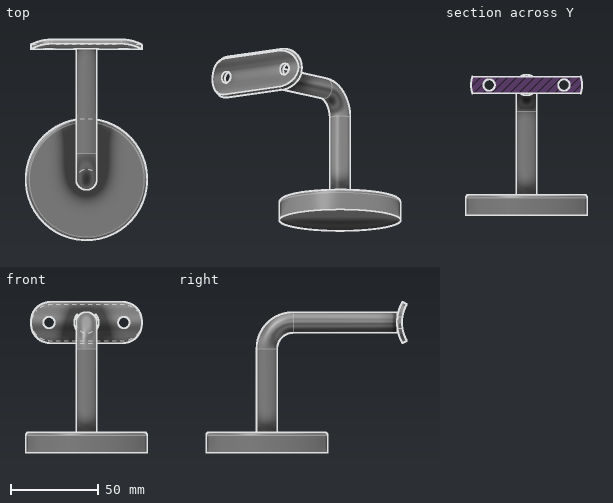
import cadquery as cq
import math


base_diameter = 70.0
base_height = 12.0
base_edge_radius = 2.0

rod_diameter = 12.0
rod_bend_radius = 15.0
rod_axis_height = 75.0

plate_back_y = 80.5
plate_height = 24.0
plate_thickness = 3.0
plate_length = 64.0
plate_corner_radius = plate_height / 2
plate_half_angle = 30.0
plate_hole_diameter = 6.5
plate_hole_spacing = 43.0

seat_diameter = 14.2
seat_depth = 0.5

half_angle = math.radians(plate_half_angle)
tube_outer_radius = plate_height / 2 / math.sin(half_angle)
tube_inner_radius = tube_outer_radius - plate_thickness
tube_axis_y = plate_back_y + tube_inner_radius * math.cos(half_angle)
plate_front_y = tube_axis_y - tube_outer_radius
seat_y = plate_front_y + seat_depth


def make_base():
    """Round base with a rounded upper edge."""
    disc = cq.Workplane("XY").circle(base_diameter / 2).extrude(base_height)
    return disc.faces(">Z").edges().fillet(base_edge_radius)


def make_rod():
    """Round rod rising from the base, bent towards +Y and ending on the plate seat."""
    bend_start_z = rod_axis_height - rod_bend_radius
    bend_offset = rod_bend_radius * (1 - math.cos(math.pi / 4))
    path = (
        cq.Workplane("YZ")
        .moveTo(0, base_height)
        .lineTo(0, bend_start_z)
        .threePointArc(
            (bend_offset, rod_axis_height - bend_offset),
            (rod_bend_radius, rod_axis_height),
        )
        .lineTo(seat_y, rod_axis_height)
    )
    section = cq.Workplane("XY", origin=(0, 0, base_height)).circle(rod_diameter / 2)
    return section.sweep(path)


def rounded_wedge(tilt):
    """Block bounded by one radial edge plane, with both plate corners on that edge rounded.

    Tilting it about the tube axis puts the edge plane at that angle from the -Y direction.
    """
    block = (
        cq.Workplane("XZ", origin=(0, tube_axis_y, rod_axis_height))
        .rect(plate_length, 2 * tube_outer_radius)
        .extrude(tube_outer_radius)
        .edges("|Y and >Z")
        .fillet(plate_corner_radius)
        .translate((0, 0, -tube_outer_radius))
    )
    axis_start = (0, tube_axis_y, rod_axis_height)
    axis_end = (1, tube_axis_y, rod_axis_height)
    return block.rotate(axis_start, axis_end, tilt)


def plate_tool():
    """Workplane facing +Y at the front of the plate, centred on the rod axis."""
    plane = cq.Plane(origin=(0, plate_front_y, rod_axis_height), xDir=(-1, 0, 0), normal=(0, 1, 0))
    return cq.Workplane(plane)


def make_plate():
    """Curved saddle plate with rounded ends, two screw holes and a rod seat."""
    plate_depth = plate_back_y - plate_front_y
    tube = (
        cq.Workplane("YZ", origin=(0, tube_axis_y, rod_axis_height))
        .circle(tube_outer_radius)
        .circle(tube_inner_radius)
        .extrude(plate_length / 2, both=True)
    )
    upper_wedge = rounded_wedge(-plate_half_angle)
    lower_wedge = upper_wedge.mirror("XY", (0, 0, rod_axis_height))
    blank = tube.intersect(upper_wedge).intersect(lower_wedge)
    holes = (
        plate_tool()
        .rarray(plate_hole_spacing, 1.2, 2, 1)
        .circle(plate_hole_diameter / 2)
        .extrude(plate_depth)
    )
    seat = plate_tool().circle(seat_diameter / 2).extrude(seat_depth)
    return blank.cut(holes).cut(seat)


base = make_base()
rod = make_rod()
plate = make_plate()

result = cq.Compound.makeCompound([base.val(), rod.val(), plate.solids().val()])